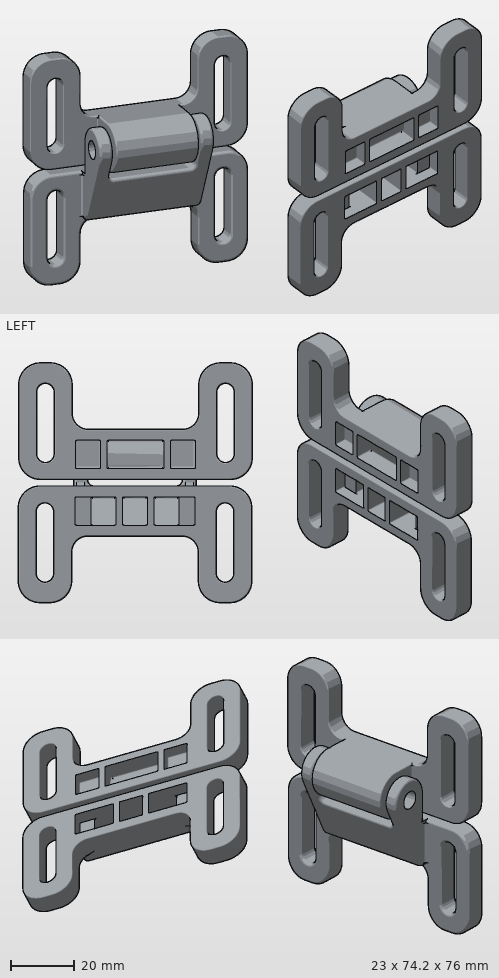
import cadquery as cq
import math

total_height = 76.0
leaf_gap = 2.0
leaf_height = (total_height - leaf_gap) / 2
leaf_width = 74.0
leaf_thickness = 7.0
leaf_side_play = 0.15
leaf_depth_play = 0.1
hinge_edge = leaf_gap / 2
bridge_height = 15.95
bridge_top = hinge_edge + bridge_height
bridge_mid = hinge_edge + bridge_height / 2
arm_width = 17.0
arm_corner_radius = 7.0
arm_root_radius = 5.0
edge_radius = 0.5

slot_width = 5.5
slot_length = 25.0
slot_mid = hinge_edge + 17.9
slot_spacing = leaf_width - arm_width

axis_x = 15.0
axis_z = bridge_mid
pin_hole_diameter = 6.0

barrel_radius = bridge_height / 2
barrel_length = 28.0
barrel_start = leaf_thickness - edge_radius

ear_radius = 7.0
ear_span = 38.9
ear_thickness = 4.5
ear_spacing = ear_span - 2 * ear_thickness
ear_edge_radius = 1.0
ear_foot_radius = 1.0
web_fillet_radius = 2.0
toe_radius = 4.0
slope_angle = 64.0
ear_leaf_front_radius = 1.0
foot_start = leaf_thickness - ear_leaf_front_radius

pocket_height = 9.0
pocket_depth = 4.0
pocket_rib = 2.0
pocket_span = 38.0
side_pocket_width = 8.0
barrel_pocket_radius = 10.0
web_pocket_width = 8.0
web_wall = 3.0

tolerance = 0.1


def block(x0, x1, width, z0, z1):
    """Box from x0 to x1 and z0 to z1, centred on Y = 0."""
    return cq.Workplane("XY").box(x1 - x0, width, z1 - z0).translate(
        ((x0 + x1) / 2, 0, (z0 + z1) / 2)
    )


def pocket_block(y_mid, z_mid, width, depth):
    """Pocket volume with rounded corners along its depth, open at X = 0."""
    return (
        cq.Workplane("YZ")
        .center(y_mid, z_mid)
        .rect(width, pocket_height)
        .extrude(depth)
        .edges("|X")
        .fillet(edge_radius)
    )


def axis_cylinder(radius, length):
    """Cylinder of the given length on the hinge axis, centred on Y = 0."""
    return (
        cq.Workplane("XZ")
        .center(axis_x, axis_z)
        .circle(radius)
        .extrude(length / 2, both=True)
    )


def cove(plane, radius, length):
    """Concave rounding for the corner at the plane's origin, open towards its +X and +Y."""
    middle = radius * (1 - math.sqrt(0.5))
    return (
        cq.Workplane(plane)
        .moveTo(radius, 0)
        .threePointArc((middle, middle), (0, radius))
        .lineTo(-radius, radius)
        .lineTo(-radius, -radius)
        .lineTo(radius, -radius)
        .close()
        .extrude(length)
    )


def foot_coves(side_y, z_low, z_high, radius):
    """Pair of coves between the plate front and the block sides at Y = +-side_y."""
    length = z_high - z_low
    left = cove(cq.Plane((leaf_thickness, side_y, z_low)), radius, length)
    return left.union(left.mirror("XZ"))


def leaf_plate(front_edge_radius):
    """U-shaped plate above the gap, with arms pointing up and one slot in each arm."""
    leaf_top = hinge_edge + leaf_height
    plate = block(0, leaf_thickness, leaf_width, hinge_edge, leaf_top).cut(
        block(0, leaf_thickness, leaf_width - 2 * arm_width, bridge_top, leaf_top)
    )

    def at_arm_root(edge):
        return abs(edge.Center().z - bridge_top) < edge_radius

    plate = plate.edges("|X").filter(at_arm_root).fillet(arm_root_radius)

    def at_plate_corner(edge):
        z = edge.Center().z
        return min(z - hinge_edge, leaf_top - z) < edge_radius

    plate = plate.edges("|X").filter(at_plate_corner).fillet(arm_corner_radius)

    slots = (
        cq.Workplane("YZ")
        .pushPoints([(-slot_spacing / 2, slot_mid), (slot_spacing / 2, slot_mid)])
        .slot2D(slot_length, slot_width, 90)
        .extrude(leaf_thickness)
    )
    plate = plate.cut(slots)
    plate = plate.faces("<X").edges().fillet(edge_radius)
    return plate.faces(">X").edges().fillet(front_edge_radius)


def barrel_leaf():
    """Upper leaf: plate with the round-nosed barrel block and three pockets in its back."""
    barrel = block(barrel_start, axis_x, barrel_length, hinge_edge, bridge_top)
    barrel = barrel.union(axis_cylinder(barrel_radius, barrel_length))
    barrel = barrel.faces("<Y or >Y").edges("not <X").fillet(edge_radius)
    leaf = leaf_plate(edge_radius).union(barrel)
    cove_bottom = hinge_edge + edge_radius
    cove_top = bridge_top - edge_radius
    leaf = leaf.union(foot_coves(barrel_length / 2, cove_bottom, cove_top, edge_radius))

    side_mid = (pocket_span - side_pocket_width) / 2
    for side in (-1, 1):
        pocket = pocket_block(side * side_mid, bridge_mid, side_pocket_width, pocket_depth)
        leaf = leaf.cut(pocket.faces(">X").edges().fillet(edge_radius))

    barrel_pocket_width = pocket_span - 2 * (side_pocket_width + pocket_rib)
    barrel_pocket = pocket_block(0, bridge_mid, barrel_pocket_width, axis_x)
    barrel_pocket = barrel_pocket.cut(axis_cylinder(barrel_pocket_radius, leaf_width))
    leaf = leaf.cut(barrel_pocket.faces(">X").edges().fillet(edge_radius))
    return leaf.cut(axis_cylinder(pin_hole_diameter / 2, leaf_width))


def slope_x(z, inset=0.0):
    """X of the sloping face at height z, moved inwards by inset at right angles to the face."""
    angle = math.radians(slope_angle)
    return (
        axis_x
        + (ear_radius - inset) / math.sin(angle)
        + (z - axis_z) / math.tan(angle)
    )


def ear_bracket():
    """Two ears joined by a wedge-shaped web below the gap, on a foot that reaches into the plate."""
    angle = math.radians(slope_angle)
    ear_back = axis_x - ear_radius
    tangent_x = axis_x + ear_radius * math.sin(angle)
    tangent_z = axis_z - ear_radius * math.cos(angle)
    bracket = (
        cq.Workplane("XZ")
        .moveTo(foot_start, -bridge_top)
        .lineTo(slope_x(-bridge_top), -bridge_top)
        .lineTo(tangent_x, tangent_z)
        .threePointArc((axis_x, axis_z + ear_radius), (ear_back, axis_z))
        .lineTo(ear_back, -bridge_mid)
        .lineTo(foot_start, -bridge_mid)
        .close()
        .extrude(ear_span / 2, both=True)
    )
    bracket = bracket.edges("|Y").edges("<Z").edges(">X").fillet(toe_radius)

    gap = block(0, axis_x + barrel_radius, ear_spacing, -hinge_edge, axis_z + ear_radius)
    bracket = bracket.cut(gap.edges("|X and <Z").fillet(web_fillet_radius))

    def on_gap_rim(edge):
        start = edge.startPoint()
        end = edge.endPoint()
        inside = max(abs(start.y), abs(end.y)) < ear_spacing / 2 + tolerance
        runs_along_x = abs(start.z - end.z) < tolerance and abs(start.y - end.y) < tolerance
        return inside and not runs_along_x

    bracket = bracket.edges().filter(on_gap_rim).fillet(ear_edge_radius)
    bracket = bracket.faces("<Y or >Y").edges("not <X").fillet(ear_edge_radius)

    foot_bottom = -bridge_mid - 2 * ear_edge_radius
    foot = block(foot_start, ear_back + ear_edge_radius, ear_span, foot_bottom, -hinge_edge)
    bracket = bracket.union(foot)

    cove_width = ear_thickness - 2 * ear_edge_radius
    for side in (-1, 1):
        ear_mid = side * (ear_spacing + ear_thickness) / 2
        plane = cq.Plane((ear_back, ear_mid - cove_width / 2, -hinge_edge), (-1, 0, 0), (0, 1, 0))
        bracket = bracket.union(cove(plane, ear_foot_radius, cove_width))
    return bracket


def web_pocket(y_mid):
    """Deep pocket whose floor runs parallel to the sloping face of the web."""
    low = -bridge_top
    high = -hinge_edge
    under_slope = (
        cq.Workplane("XZ")
        .polyline([(0, low), (slope_x(low, web_wall), low), (slope_x(high, web_wall), high), (0, high)])
        .close()
        .extrude(leaf_width / 2, both=True)
    )
    pocket = pocket_block(y_mid, -bridge_mid, web_pocket_width, axis_x).intersect(under_slope)
    return pocket.faces(">X").edges().fillet(edge_radius)


def ear_leaf():
    """Lower leaf: mirrored plate with the ear bracket and three pockets in its back."""
    leaf = leaf_plate(ear_leaf_front_radius).mirror("XY").union(ear_bracket())
    cove_bottom = -bridge_top + ear_edge_radius
    cove_top = -hinge_edge - ear_leaf_front_radius
    leaf = leaf.union(foot_coves(ear_span / 2, cove_bottom, cove_top, ear_foot_radius))

    step_width = (pocket_span - 2 * pocket_rib - 3 * web_pocket_width) / 2
    side_width = web_pocket_width + step_width
    side_mid = (pocket_span - side_width) / 2
    for side in (-1, 1):
        leaf = leaf.cut(pocket_block(side * side_mid, -bridge_mid, side_width, pocket_depth))

    deep_mid = web_pocket_width + pocket_rib
    for y_mid in (-deep_mid, 0, deep_mid):
        leaf = leaf.cut(web_pocket(y_mid))
    return leaf.cut(axis_cylinder(pin_hole_diameter / 2, leaf_width))


barrel_body = barrel_leaf().translate((0, -leaf_side_play / 2, 0))
ear_body = ear_leaf().translate((leaf_depth_play, leaf_side_play / 2, 0))

result = cq.Compound.makeCompound([barrel_body.val(), ear_body.val()])